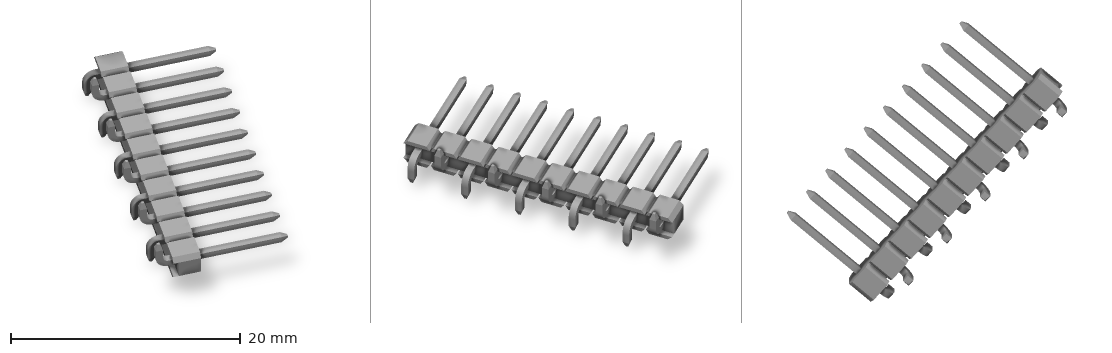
import cadquery as cq
import math

pin_count = 10
pitch = 2.55
beam_length = pin_count * pitch
housing_height = 2.51
rib_height = 0.4
notch_floor_width = 0.13
notch_mouth_width = 0.69
end_bevel = rib_height
rib_depth = 2.5
beam_depth = 2.0
beam_height = housing_height - 2 * rib_height

overall_depth = 11.95
overall_height = 4.8
pin_size = 0.64
tip_size = 0.23
tip_length = 0.6
bend_inner_radius = 0.5
bend_outer_radius = bend_inner_radius + pin_size
back_pin_length = 8.13

pin_front = back_pin_length - overall_depth
bend_start = pin_front + bend_outer_radius
foot_center = pin_front + pin_size / 2
bend_center_z = pin_size / 2 - bend_outer_radius
foot_end_z = tip_length - overall_height / 2


def make_beam():
    """Plain bar along X with its back face at Y = 0."""
    beam = cq.Workplane("XY").box(beam_length, beam_depth, beam_height)
    return beam.translate((0, -beam_depth / 2, 0))


def make_rail():
    """Row of bevelled ribs on top of the beam, reaching past its front face."""
    base_z = beam_height / 2
    top_z = housing_height / 2
    half_beam = beam_length / 2
    half_top = half_beam - end_bevel
    end_outline = [
        (-half_beam, base_z),
        (half_beam, base_z),
        (half_top, top_z),
        (-half_top, top_z),
    ]
    rail = cq.Workplane("XZ").polyline(end_outline).close().extrude(rib_depth)
    half_floor = notch_floor_width / 2
    half_mouth = notch_mouth_width / 2
    for index in range(1, pin_count):
        x = index * pitch - half_beam
        notch_outline = [
            (x - half_floor, base_z),
            (x + half_floor, base_z),
            (x + half_mouth, top_z),
            (x - half_mouth, top_z),
        ]
        rail = rail.cut(cq.Workplane("XZ").polyline(notch_outline).close().extrude(rib_depth))
    return rail


def make_tip(plane):
    """Square taper that continues the wire along the plane normal."""
    return (
        cq.Workplane(plane)
        .rect(pin_size, pin_size)
        .workplane(offset=tip_length)
        .rect(tip_size, tip_size)
        .loft(ruled=True)
    )


def make_pin():
    """Pin at X = 0 with its foot bent downward."""
    straight_end = back_pin_length - tip_length
    half = pin_size / 2
    diagonal = math.sqrt(0.5)
    outer_mid = (bend_start - bend_outer_radius * diagonal, bend_center_z + bend_outer_radius * diagonal)
    inner_mid = (bend_start - bend_inner_radius * diagonal, bend_center_z + bend_inner_radius * diagonal)
    wire = (
        cq.Workplane("YZ")
        .moveTo(straight_end, half)
        .lineTo(bend_start, half)
        .threePointArc(outer_mid, (pin_front, bend_center_z))
        .lineTo(pin_front, foot_end_z)
        .lineTo(pin_front + pin_size, foot_end_z)
        .lineTo(pin_front + pin_size, bend_center_z)
        .threePointArc(inner_mid, (bend_start, -half))
        .lineTo(straight_end, -half)
        .close()
        .extrude(half, both=True)
    )
    back_tip = make_tip(cq.Plane((0, straight_end, 0), xDir=(1, 0, 0), normal=(0, 1, 0)))
    foot_tip = make_tip(cq.Plane((0, foot_center, foot_end_z), xDir=(1, 0, 0), normal=(0, 0, -1)))
    return wire.union(back_tip).union(foot_tip)


rail = make_rail()
result = make_beam().union(rail).union(rail.mirror("XY"))
down_pin = make_pin()
up_pin = down_pin.mirror("XY")
for index in range(pin_count):
    x = (index - (pin_count - 1) / 2) * pitch
    pin = down_pin if index % 2 == 0 else up_pin
    result = result.union(pin.translate((x, 0, 0)))